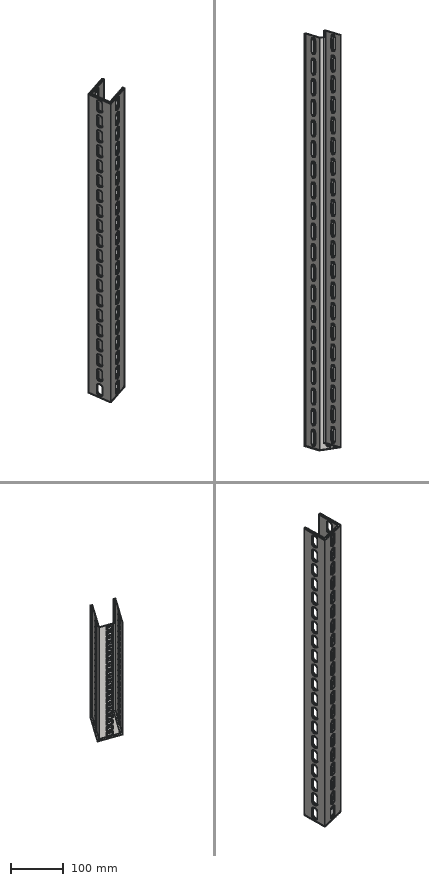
import cadquery as cq

length = 800.0
width = 50.0
depth = 50.0
wall = 4.0

slot_count = 20
slot_pitch = length / slot_count
slot_length = 32.0
slot_width = 13.0


def channel():
    """Square-cornered U-section, centred on the origin."""
    outer = cq.Workplane("XY").box(width, depth, length)
    inside = cq.Workplane("XY").box(width - 2 * wall, depth, length).translate((0, wall, 0))
    return outer.cut(inside)


def slot_row(plane, cut_depth):
    """Row of slot cutters starting on the given plane and reaching cut_depth along its normal."""
    return (
        cq.Workplane(plane)
        .rarray(slot_pitch, slot_pitch, 1, slot_count)
        .slot2D(slot_length, slot_width, 90)
        .extrude(cut_depth)
    )


web_plane = cq.Plane(origin=(0, -depth / 2, 0), xDir=(-1, 0, 0), normal=(0, 1, 0))
flange_plane = cq.Plane(origin=(-width / 2, 0, 0), xDir=(0, 1, 0), normal=(1, 0, 0))

result = channel().cut(slot_row(web_plane, wall)).cut(slot_row(flange_plane, width))